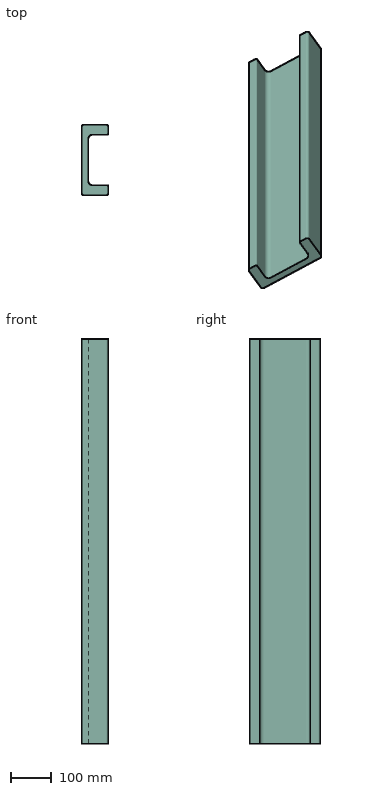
import cadquery as cq

depth = 66.2
width = 175.0
length = 1000.0

web_thickness = 16.6
flange_thickness = 25.2

outer_corner_radius = 6.0
root_radius = 11.0
tip_radius = 2.5

cavity_depth = depth - web_thickness
cavity_width = width - 2 * flange_thickness


def bar_along_z(x_size, y_size):
    """Rectangular bar of full length, starting at X = 0 and centred on Y."""
    return cq.Workplane("XY").box(x_size, y_size, length, centered=(False, True, False))


def channel_blank():
    """Solid bar with its four long outer edges rounded."""
    return bar_along_z(depth, width).edges("|Z").fillet(outer_corner_radius)


def channel_cavity():
    """Space between the flanges, open at the tips and rounded at the web."""
    cavity = bar_along_z(cavity_depth, cavity_width).translate((web_thickness, 0, 0))
    return cavity.edges("|Z and <X").fillet(root_radius)


def round_flange_tips(channel):
    """Round the long inner edge of both flange tips."""
    for side in (-1, 1):
        tip_edge_middle = (depth, side * cavity_width / 2, length / 2)
        tip_edge = channel.edges("|Z").edges(cq.NearestToPointSelector(tip_edge_middle))
        channel = tip_edge.fillet(tip_radius)
    return channel


result = round_flange_tips(channel_blank().cut(channel_cavity()))